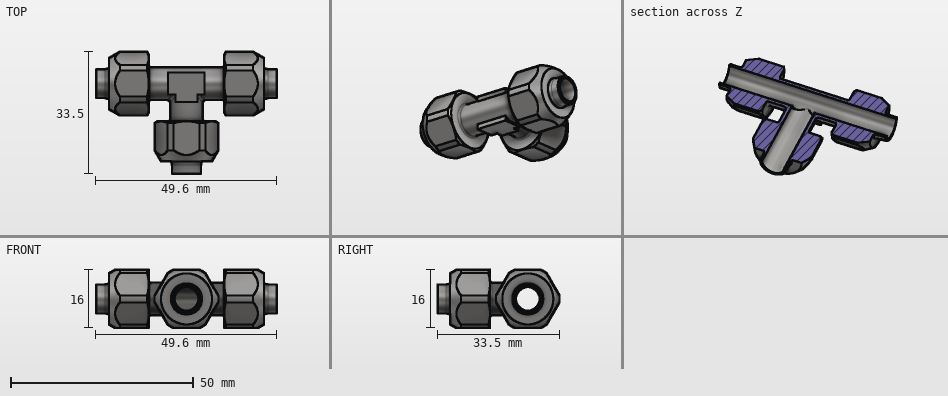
import cadquery as cq
import math

ARM_LENGTH = 24.8
BORE_RADIUS = 3.25

PIPE_RADIUS = 4.5
CROTCH_RADIUS = 0.8
PAD_RUN_HALF_LENGTH = 5.0
PAD_HALF_WIDTH = 3.0
PAD_HALF_HEIGHT = 4.8

HEX_ACROSS_FLATS = 16.0
FLATS_TURN = 30.0
NUT_CORNER_RADIUS = 8.75
NUT_INNER_FACE = 10.3
NUT_OUTER_FACE = 21.3
NUT_INNER_FACE_RADIUS = 7.9
NUT_OUTER_FACE_RADIUS = 7.0
NUT_CHAMFER_ANGLE = 30.0

ROOT_FILLET_RADIUS = 0.5

TUBE_RADIUS = 4.0
TUBE_FLARE_RADIUS = 4.25
TUBE_FLARE_END = 22.35
TUBE_END_CHAMFER = 0.2


def tee_body():
    """Run and branch pipes, squared off by flat pads on top and underneath."""
    run = cq.Workplane("YZ").circle(PIPE_RADIUS).extrude(NUT_OUTER_FACE, both=True)
    branch = cq.Workplane("XZ").circle(PIPE_RADIUS).extrude(NUT_OUTER_FACE)
    run_pad = cq.Workplane("XY").box(2 * PAD_RUN_HALF_LENGTH, 2 * PAD_HALF_WIDTH, 2 * PAD_HALF_HEIGHT)
    branch_pad = (
        cq.Workplane("XY")
        .box(2 * PAD_HALF_WIDTH, PAD_RUN_HALF_LENGTH, 2 * PAD_HALF_HEIGHT)
        .translate((0, -PAD_RUN_HALF_LENGTH / 2, 0))
    )
    body = run.union(branch).union(run_pad).union(branch_pad)
    crotch_edges = cq.selectors.BoxSelector(
        (-PIPE_RADIUS, -PIPE_RADIUS, -PAD_HALF_WIDTH),
        (PIPE_RADIUS, -PAD_HALF_WIDTH, PAD_HALF_WIDTH),
    )
    return body.edges(crotch_edges).fillet(CROTCH_RADIUS)


def nut():
    """Hex nut along +Z, coned at both ends."""
    slope = math.tan(math.radians(NUT_CHAMFER_ANGLE))
    inner_chamfer = (NUT_CORNER_RADIUS - NUT_INNER_FACE_RADIUS) * slope
    outer_chamfer = (NUT_CORNER_RADIUS - NUT_OUTER_FACE_RADIUS) / slope
    hexagon = (
        cq.Workplane("XY", origin=(0, 0, NUT_INNER_FACE))
        .polygon(6, HEX_ACROSS_FLATS, circumscribed=True)
        .extrude(NUT_OUTER_FACE - NUT_INNER_FACE)
        .rotate((0, 0, 0), (0, 0, 1), FLATS_TURN)
    )
    envelope = (
        cq.Workplane("XZ")
        .moveTo(0, NUT_INNER_FACE)
        .lineTo(NUT_INNER_FACE_RADIUS, NUT_INNER_FACE)
        .lineTo(NUT_CORNER_RADIUS, NUT_INNER_FACE + inner_chamfer)
        .lineTo(NUT_CORNER_RADIUS, NUT_OUTER_FACE - outer_chamfer)
        .lineTo(NUT_OUTER_FACE_RADIUS, NUT_OUTER_FACE)
        .lineTo(0, NUT_OUTER_FACE)
        .close()
        .revolve(360, (0, 0), (0, 1))
    )
    return hexagon.intersect(envelope)


def root_flare():
    """Concave flare along +Z from the pipe to the inner face of the nut."""
    start = NUT_INNER_FACE - ROOT_FILLET_RADIUS
    return (
        cq.Workplane("XZ")
        .moveTo(0, start)
        .lineTo(PIPE_RADIUS, start)
        .radiusArc((PIPE_RADIUS + ROOT_FILLET_RADIUS, NUT_INNER_FACE), ROOT_FILLET_RADIUS)
        .lineTo(0, NUT_INNER_FACE)
        .close()
        .revolve(360, (0, 0), (0, 1))
    )


def tube_stub():
    """Tube end along +Z, widening slightly towards the nut."""
    return (
        cq.Workplane("XZ")
        .moveTo(0, NUT_OUTER_FACE)
        .lineTo(TUBE_FLARE_RADIUS, NUT_OUTER_FACE)
        .lineTo(TUBE_RADIUS, TUBE_FLARE_END)
        .lineTo(TUBE_RADIUS, ARM_LENGTH - TUBE_END_CHAMFER)
        .lineTo(TUBE_RADIUS - TUBE_END_CHAMFER, ARM_LENGTH)
        .lineTo(0, ARM_LENGTH)
        .close()
        .revolve(360, (0, 0), (0, 1))
    )


def bores():
    """Through bore of the run joined by the bore of the branch."""
    run_bore = cq.Workplane("YZ").circle(BORE_RADIUS).extrude(ARM_LENGTH, both=True)
    branch_bore = cq.Workplane("XZ").circle(BORE_RADIUS).extrude(ARM_LENGTH)
    return run_bore.union(branch_bore)


branch_arm = nut().union(root_flare()).union(tube_stub()).rotate((0, 0, 0), (1, 0, 0), 90)
result = tee_body()
for turn in (-90, 0, 90):
    result = result.union(branch_arm.rotate((0, 0, 0), (0, 0, 1), turn))
result = result.cut(bores())